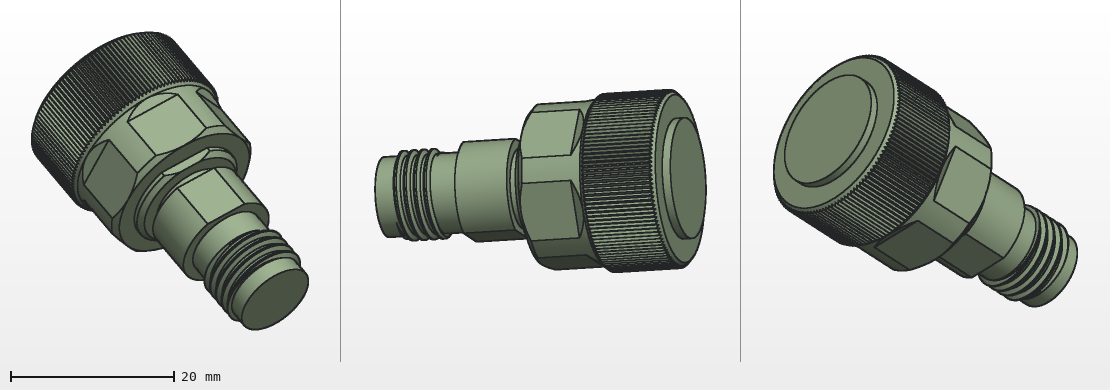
import cadquery as cq
import math


PLUG_START = 0.0
KNURL_START = 1.05
KNURL_END = 10.75
NUT_END = 18.85
COLLAR_END = 20.08
BLOCK_START = 21.3
BLOCK_END = 27.95
THREAD_START = 31.35
THREAD_END = 36.45
TOTAL_LENGTH = 38.6

PLUG_RADIUS = 7.4
KNURL_RADIUS = 10.95
KNURL_CHAMFER = 0.65
TOOTH_COUNT = 125
TOOTH_DEPTH = 0.3

NUT_RADIUS = 10.3
NUT_FLAT_DISTANCE = 9.6
NUT_FLAT_COUNT = 6
NUT_CHAMFER = 0.7
FLAT_RUNOUT_ANGLE = 30.0

COLLAR_RADIUS = 7.4
COLLAR_CHAMFER = 0.65
COLLAR_FLAT_HEIGHT = 6.6

TUBE_RADIUS = 4.95
BLOCK_RADIUS = 6.35
BLOCK_FLAT_DISTANCE = 5.7

THREAD_RADIUS = 5.55
THREAD_PITCH = 1.27
THREAD_BASE_WIDTH = 1.0
THREAD_CREST_WIDTH = 0.25
THREAD_EMBED = 0.1
HELIX_START = 30.4
THREAD_TRIM_CLEARANCE = 0.4


def cylinder(start, end, radius):
    """Solid cylinder on the X axis between two stations."""
    return cq.Workplane("YZ").workplane(offset=start).circle(radius).extrude(end - start)


def make_knurled_ring():
    """Chamfered ring with V-shaped teeth around its rim."""
    pitch_angle = 2 * math.pi / TOOTH_COUNT
    root_radius = KNURL_RADIUS - TOOTH_DEPTH
    points = []
    for tooth in range(TOOTH_COUNT):
        root_angle = tooth * pitch_angle
        tip_angle = root_angle + pitch_angle / 2
        points.append((root_radius * math.cos(root_angle), root_radius * math.sin(root_angle)))
        points.append((KNURL_RADIUS * math.cos(tip_angle), KNURL_RADIUS * math.sin(tip_angle)))
    length = KNURL_END - KNURL_START
    toothed = cq.Workplane("YZ").workplane(offset=KNURL_START).polyline(points).close().extrude(length)
    envelope = cylinder(KNURL_START, KNURL_END, KNURL_RADIUS).edges().chamfer(KNURL_CHAMFER)
    return toothed.intersect(envelope)


def make_nut():
    """Round nut with flats that ramp out to its full radius beside the knurled ring."""
    nut = cylinder(KNURL_END, NUT_END, NUT_RADIUS).faces(">X").edges().chamfer(NUT_CHAMFER)
    flat_depth = NUT_RADIUS - NUT_FLAT_DISTANCE
    runout = flat_depth / math.tan(math.radians(FLAT_RUNOUT_ANGLE))
    cutter = (
        cq.Workplane("XZ")
        .moveTo(KNURL_END, NUT_RADIUS)
        .lineTo(KNURL_END + runout, NUT_FLAT_DISTANCE)
        .lineTo(NUT_END, NUT_FLAT_DISTANCE)
        .lineTo(NUT_END, NUT_RADIUS)
        .close()
        .extrude(NUT_RADIUS, both=True)
    )
    for index in range(NUT_FLAT_COUNT):
        nut = nut.cut(cutter.rotate((0, 0, 0), (1, 0, 0), index * 360 / NUT_FLAT_COUNT))
    return nut


def make_collar():
    """Thin chamfered collar, cut flat on its +Z side."""
    collar = cylinder(NUT_END, COLLAR_END, COLLAR_RADIUS).faces(">X").edges().chamfer(COLLAR_CHAMFER)
    keep_height = COLLAR_RADIUS + COLLAR_FLAT_HEIGHT
    keep = cq.Workplane("XY").box(2 * TOTAL_LENGTH, 2 * COLLAR_RADIUS, keep_height)
    return collar.intersect(keep.translate((0, 0, COLLAR_FLAT_HEIGHT - keep_height / 2)))


def make_block():
    """Round block with parallel flats on its +Z and -Z sides."""
    keep = cq.Workplane("XY").box(2 * TOTAL_LENGTH, 2 * BLOCK_RADIUS, 2 * BLOCK_FLAT_DISTANCE)
    return cylinder(BLOCK_START, BLOCK_END, BLOCK_RADIUS).intersect(keep)


def make_thread():
    """Helical ridge, trimmed square at both ends of the thread."""
    base_radius = TUBE_RADIUS - THREAD_EMBED
    helix_length = THREAD_END - HELIX_START + THREAD_PITCH
    helix = cq.Wire.makeHelix(THREAD_PITCH, helix_length, base_radius)
    ridge = (
        cq.Workplane("XZ")
        .moveTo(base_radius, -THREAD_BASE_WIDTH / 2)
        .lineTo(THREAD_RADIUS, -THREAD_CREST_WIDTH / 2)
        .lineTo(THREAD_RADIUS, THREAD_CREST_WIDTH / 2)
        .lineTo(base_radius, THREAD_BASE_WIDTH / 2)
        .close()
        .sweep(cq.Workplane(obj=helix), isFrenet=True)
    )
    along_x = ridge.rotate((0, 0, 0), (0, 1, 0), 90)
    placed = along_x.translate((HELIX_START, 0, 0))
    return placed.intersect(cylinder(THREAD_START, THREAD_END, THREAD_RADIUS + THREAD_TRIM_CLEARANCE))


result = (
    cylinder(PLUG_START, KNURL_START, PLUG_RADIUS)
    .union(make_knurled_ring())
    .union(make_nut())
    .union(make_collar())
    .union(cylinder(COLLAR_END, TOTAL_LENGTH, TUBE_RADIUS))
    .union(make_block())
    .union(make_thread())
)